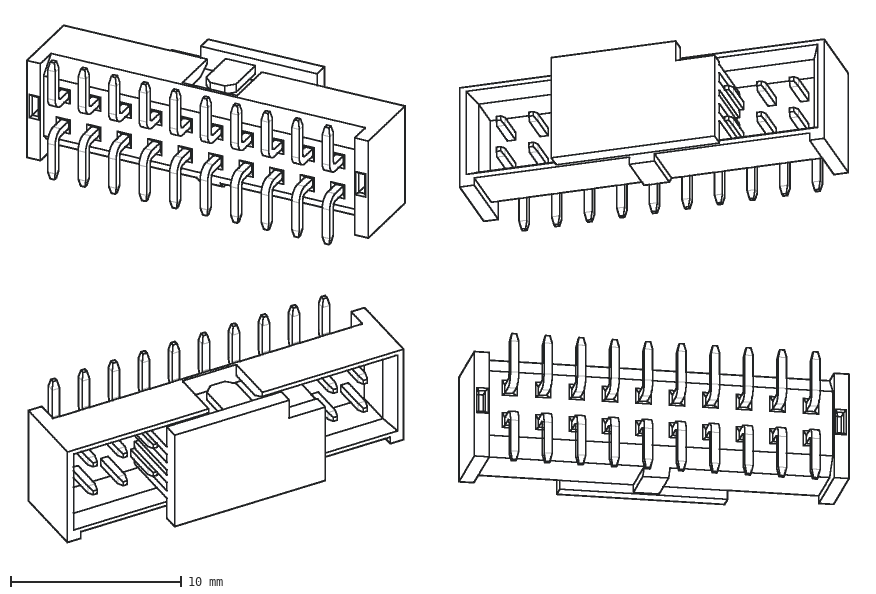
import cadquery as cq


PIN_COLUMNS = 10
PIN_ROW_LENGTH = 18.0
PIN_SIZE = 0.5
PIN_FRONT_Y = -1.57
PIN_BEND_RADIUS = 0.25
PIN_LEG_END_Z = 3.9
PIN_MATING_END_Y = 3.8
PIN_TIP_LENGTH = 0.5
PIN_TIP_SIZE = 0.27

HOUSING_LENGTH = 22.4
BODY_HALF_HEIGHT = 3.0
MATING_FACE_Y = 4.45
WALL = 0.78
CAVITY_FLOOR_Y = 1.2
FRONT_CHAMFER = 1.0
TAB_WIDTH = 0.9
TAB_FRONT_Y = -0.4
FOOT_DEPTH = 0.47
KEY_WIDTH = 1.55
SLOT_WIDTH = 3.58
FUNNEL_SIZE = 0.92
MOUTH_FLARE = 0.5
MOUTH_FLARE_DEPTH = 0.9
TAB_POCKET_WIDTH = 0.67
TAB_POCKET_HEIGHT = 1.55
TAB_POCKET_BEVEL = 0.13
TAB_POCKET_DEPTH = 0.9
TAB_POCKET_INSET = 0.07

CAP_LENGTH = 10.03
CAP_HEIGHT = 6.54
CAP_BACK_Y = 6.25
CAP_FRONT_Y = 5.26
CAP_STEP_X = -2.62
CAP_STEP_Z = 2.0
PRONG_THICKNESS = 0.54
PRONG_HEIGHTS = (-1.57, -0.45, 0.45, 1.57)
PRONG_BEVEL_RUN = 0.13
PRONG_BEVEL_DROP = 0.1
TONGUE_WIDTH = 1.95
TONGUE_END_Y = 2.22
TONGUE_CENTRE_Z = 2.57
TONGUE_CORNER = 0.5

FOOT_Z = -BODY_HALF_HEIGHT - FOOT_DEPTH
PITCH = PIN_ROW_LENGTH / (PIN_COLUMNS - 1)
ROW_Z = PITCH / 2
PIN_COLUMN_X = [(column - (PIN_COLUMNS - 1) / 2) * PITCH for column in range(PIN_COLUMNS)]
BODY_LENGTH = HOUSING_LENGTH - 2 * TAB_WIDTH


def block(x_range, y_range, z_range):
    """A box that fills the given (low, high) ranges."""
    lows, highs = zip(x_range, y_range, z_range)
    size = [high - low for low, high in zip(lows, highs)]
    return cq.Workplane("XY").box(*size, centered=False).translate(lows)


def centred(width, middle=0.0):
    """The (low, high) range of a given width about a middle."""
    return (middle - width / 2, middle + width / 2)


def extrude_along_x(outline, length):
    """A closed (y, z) outline extruded symmetrically about X = 0."""
    return cq.Workplane("YZ").polyline(outline).close().extrude(length / 2, both=True)


def make_pin():
    """An upper pin at X = 0: mating end, bend and leg pointing up."""
    half = PIN_SIZE / 2
    leg_y = PIN_FRONT_Y + half
    bend = half + PIN_BEND_RADIUS
    leg_base_z = ROW_Z + bend
    leg_tip_z = PIN_LEG_END_Z - PIN_TIP_LENGTH
    mating_tip_y = PIN_MATING_END_Y - PIN_TIP_LENGTH
    path = (
        cq.Workplane("YZ")
        .moveTo(mating_tip_y, ROW_Z)
        .lineTo(leg_y + bend, ROW_Z)
        .radiusArc((leg_y, leg_base_z), bend)
        .lineTo(leg_y, leg_tip_z)
    )
    shank_start = cq.Workplane("XZ", origin=(0, mating_tip_y, ROW_Z))
    shank = shank_start.rect(PIN_SIZE, PIN_SIZE).sweep(path)
    leg_tip = (
        cq.Workplane("XY", origin=(0, leg_y, leg_tip_z))
        .rect(PIN_SIZE, PIN_SIZE)
        .workplane(offset=PIN_TIP_LENGTH)
        .rect(PIN_TIP_SIZE, PIN_TIP_SIZE)
        .loft()
    )
    mating_tip = (
        shank_start.rect(PIN_SIZE, PIN_SIZE)
        .workplane(offset=-PIN_TIP_LENGTH)
        .rect(PIN_TIP_SIZE, PIN_TIP_SIZE)
        .loft()
    )
    return shank.union(leg_tip).union(mating_tip)


def make_funnel():
    """The 45 degree square funnel that narrows from the front face to the upper pin at X = 0."""
    return (
        cq.Workplane("XZ", origin=(0, 0, ROW_Z))
        .rect(FUNNEL_SIZE, FUNNEL_SIZE)
        .workplane(offset=-(FUNNEL_SIZE - PIN_SIZE) / 2)
        .rect(PIN_SIZE, PIN_SIZE)
        .loft()
    )


def at_every_pin(upper):
    """Copies of a shape at the upper pin at X = 0, one for every pin of both rows."""
    lower = upper.mirror("XY")
    return [row.translate((x, 0, 0)) for x in PIN_COLUMN_X for row in (upper, lower)]


def make_bottom_key():
    """The key under the body; its front carries on the slope of the bottom chamfer."""
    slope_start_z = FRONT_CHAMFER - BODY_HALF_HEIGHT
    outline = [
        (0, slope_start_z),
        (slope_start_z - FOOT_Z, FOOT_Z),
        (MATING_FACE_Y, FOOT_Z),
        (MATING_FACE_Y, 0),
        (0, 0),
    ]
    return extrude_along_x(outline, KEY_WIDTH)


def make_tab_pocket():
    """The pocket in the front of the -X end tab, with a 45 degree bevel around its opening."""
    centre_x = -BODY_LENGTH / 2 - TAB_POCKET_INSET - TAB_POCKET_WIDTH / 2
    width = TAB_POCKET_WIDTH - 2 * TAB_POCKET_BEVEL
    height = TAB_POCKET_HEIGHT - 2 * TAB_POCKET_BEVEL
    opening = cq.Workplane("XZ", origin=(centre_x, TAB_FRONT_Y, 0))
    bevel = (
        opening.rect(TAB_POCKET_WIDTH, TAB_POCKET_HEIGHT)
        .workplane(offset=-TAB_POCKET_BEVEL)
        .rect(width, height)
        .loft()
    )
    return bevel.union(opening.rect(width, height).extrude(-TAB_POCKET_DEPTH))


def make_cavity():
    """The mating cavity, flared at its mouth, and the slot through its top wall."""
    depth = (CAVITY_FLOOR_Y, MATING_FACE_Y)
    height = 2 * (BODY_HALF_HEIGHT - WALL)
    cavity = block(centred(BODY_LENGTH), depth, centred(height))
    flare = (
        cq.Workplane("XZ", origin=(0, MATING_FACE_Y, 0))
        .rect(BODY_LENGTH + 2 * MOUTH_FLARE, height + 2 * MOUTH_FLARE)
        .workplane(offset=MOUTH_FLARE_DEPTH)
        .rect(BODY_LENGTH, height)
        .loft()
    )
    slot = block(centred(SLOT_WIDTH), depth, (0, BODY_HALF_HEIGHT))
    return cavity.union(flare).union(slot)


def make_connector():
    """The housing with its moulded-in pins, one solid."""
    body = block(centred(BODY_LENGTH), (0, MATING_FACE_Y), centred(2 * BODY_HALF_HEIGHT))
    body = body.edges("|X and <Y").chamfer(FRONT_CHAMFER)
    body = body.union(make_bottom_key())

    tab = block(
        (-HOUSING_LENGTH / 2, -BODY_LENGTH / 2), (TAB_FRONT_Y, MATING_FACE_Y), (FOOT_Z, BODY_HALF_HEIGHT)
    )
    tab = tab.cut(make_tab_pocket())
    body = body.union(tab).union(tab.mirror("YZ"))

    body = body.cut(make_cavity())
    for funnel in at_every_pin(make_funnel()):
        body = body.cut(funnel)
    for pin in at_every_pin(make_pin()):
        body = body.union(pin)
    return body


def make_prong():
    """A full-width prong at Z = 0 that reaches the cavity floor and has a bevelled tip."""
    half = PRONG_THICKNESS / 2
    bevel_y = CAVITY_FLOOR_Y + PRONG_BEVEL_RUN
    tip_half = half - PRONG_BEVEL_DROP
    outline = [
        (CAP_FRONT_Y, half),
        (bevel_y, half),
        (CAVITY_FLOOR_Y, tip_half),
        (CAVITY_FLOOR_Y, -tip_half),
        (bevel_y, -half),
        (CAP_FRONT_Y, -half),
    ]
    return extrude_along_x(outline, CAP_LENGTH)


def make_tongue():
    """The narrow tongue that lies in the housing slot, with cut corners."""
    tongue = block(
        centred(TONGUE_WIDTH), (TONGUE_END_Y, CAP_FRONT_Y), centred(PRONG_THICKNESS, TONGUE_CENTRE_Z)
    )
    return tongue.edges("|Z and <Y").chamfer(TONGUE_CORNER)


def make_cap():
    """The pick-up cap: a stepped plate with four prongs and a tongue."""
    plate_depth = (CAP_FRONT_Y, CAP_BACK_Y)
    cap = block(centred(CAP_LENGTH), plate_depth, centred(CAP_HEIGHT))
    cap = cap.cut(block((-CAP_LENGTH / 2, CAP_STEP_X), plate_depth, (CAP_STEP_Z, CAP_HEIGHT / 2)))
    for height in PRONG_HEIGHTS:
        cap = cap.union(make_prong().translate((0, 0, height)))
    return cap.union(make_tongue())


connector = make_connector()
cap = make_cap()
result = cq.Compound.makeCompound([connector.solids().val(), cap.solids().val()])